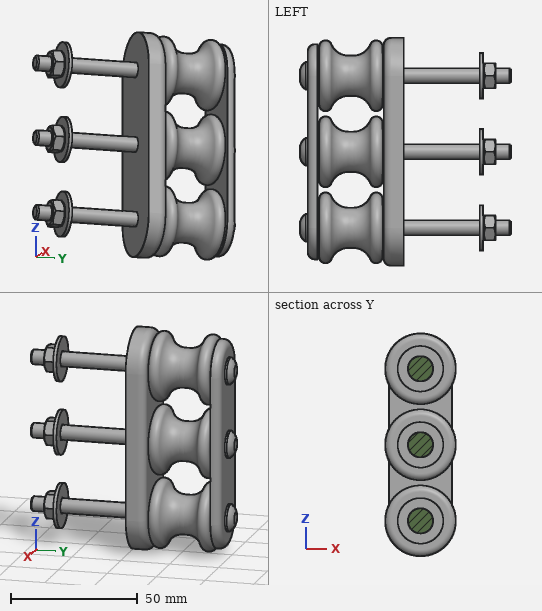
import cadquery as cq
import math


bolt_pitch = 30.0
bolt_heights = [-bolt_pitch, 0.0, bolt_pitch]

front_width = 30.0
front_thickness = 8.0
back_width = 25.0
back_thickness = 4.0
plate_fillet = 3.0
plate_chamfer = 0.1

roller_length = 25.0
roller_diameter = 28.0
neck_diameter = 16.0
neck_flat_length = 2.0
rim_radius = 2.5
spacer_diameter = 10.0
front_gap = 0.4
back_gap = 0.6
hub_diameter = 18.0
hub_height = 0.2

shank_diameter = 6.0
shank_protrusion = 42.3
shank_chamfer = 0.65
head_diameter = 11.0
head_height = 3.0
head_rim_height = 0.8
head_top_diameter = 4.8
head_dome_bulge = 0.35

nut_across_flats = 9.9
nut_height = 5.0
nut_collar_diameter = 9.9
nut_collar_length = 0.4
nut_outer_face_diameter = 9.0
nut_chamfer_angle = 30.0
thread_end_length = 6.0
washer_diameter = 18.0
washer_hole_diameter = 6.4
washer_thickness = 1.4

roller_start = front_thickness + front_gap
roller_end = roller_start + roller_length
back_start = roller_end + back_gap
back_end = back_start + back_thickness
shank_end = -shank_protrusion
nut_outer_face = shank_end + thread_end_length
nut_inner_face = nut_outer_face + nut_height


def plane_at(y):
    """Work plane normal to +Y at the given Y, with local Y along Z."""
    return cq.Workplane(cq.Plane(origin=(0, y, 0), xDir=(-1, 0, 0), normal=(0, 1, 0)))


def disc(diameter, y, length):
    return plane_at(y).circle(diameter / 2).extrude(length)


def revolve_about_y(profile):
    """Revolve a closed (radius, Y) profile around the Y axis."""
    return profile.close().revolve(360, (0, 0), (0, 1))


def plate(width, thickness, y):
    """Round-ended plate with its +Y edge filleted and its -Y edge chamfered."""
    total_height = 2 * bolt_pitch + width
    body = plane_at(y).slot2D(total_height, width, 90).extrude(thickness)
    body = body.faces(">Y").edges().fillet(plate_fillet)
    return body.faces("<Y").edges().chamfer(plate_chamfer)


def roller():
    """Grooved roller: round rims running tangentially into a concave neck, a thin hub on each end."""
    middle = (roller_start + roller_end) / 2
    hub_radius = hub_diameter / 2
    neck_radius = neck_diameter / 2
    rim_center_radius = roller_diameter / 2 - rim_radius
    rim_offset = roller_length / 2 - rim_radius
    flat_half = neck_flat_length / 2

    run = rim_offset - flat_half
    rise = rim_center_radius - neck_radius
    groove_radius = (run**2 + rise**2 - rim_radius**2) / (2 * (rim_radius + rise))
    groove_center_radius = neck_radius + groove_radius

    angle = math.atan2(groove_center_radius - rim_center_radius, run)
    tangent_radius = rim_center_radius + rim_radius * math.sin(angle)
    tangent_offset = rim_offset - rim_radius * math.cos(angle)
    groove_mid_angle = (math.pi / 2 + angle) / 2
    groove_mid_radius = groove_center_radius - groove_radius * math.sin(groove_mid_angle)
    groove_mid_offset = flat_half + groove_radius * math.cos(groove_mid_angle)
    rim_top = roller_diameter / 2

    tangent_front = (tangent_radius, middle - tangent_offset)
    tangent_back = (tangent_radius, middle + tangent_offset)
    groove_mid_front = (groove_mid_radius, middle - groove_mid_offset)
    groove_mid_back = (groove_mid_radius, middle + groove_mid_offset)

    profile = (
        cq.Workplane("XY")
        .moveTo(0, roller_start - hub_height)
        .lineTo(hub_radius, roller_start - hub_height)
        .lineTo(hub_radius, roller_start)
        .lineTo(rim_center_radius, roller_start)
        .threePointArc((rim_top, middle - rim_offset), tangent_front)
        .threePointArc(groove_mid_front, (neck_radius, middle - flat_half))
        .lineTo(neck_radius, middle + flat_half)
        .threePointArc(groove_mid_back, tangent_back)
        .threePointArc((rim_top, middle + rim_offset), (rim_center_radius, roller_end))
        .lineTo(hub_radius, roller_end)
        .lineTo(hub_radius, roller_end + hub_height)
        .lineTo(0, roller_end + hub_height)
    )
    return revolve_about_y(profile)


def spacers():
    """Thin collars that keep the roller clear of both plates."""
    front = disc(spacer_diameter, front_thickness, front_gap)
    back = disc(spacer_diameter, roller_end, back_gap)
    return front.union(back)


def bolt():
    """Shank with a chamfered end and a domed head."""
    shank = disc(shank_diameter, shank_end, back_end - shank_end)
    shank = shank.faces("<Y").chamfer(shank_chamfer)
    rim_end = (head_diameter / 2, back_end + head_rim_height)
    top_edge = (head_top_diameter / 2, back_end + head_height)
    head = (
        cq.Workplane("XY")
        .moveTo(0, back_end)
        .lineTo(head_diameter / 2, back_end)
        .lineTo(*rim_end)
        .sagittaArc(top_edge, -head_dome_bulge)
        .lineTo(0, back_end + head_height)
    )
    return shank.union(revolve_about_y(head))


def nut():
    """Hexagonal nut, flats facing +Z and -Z, with conical chamfers and a round collar under it."""
    corner_radius = nut_across_flats / math.sqrt(3)
    collar_radius = nut_collar_diameter / 2
    outer_radius = nut_outer_face_diameter / 2
    slope = math.tan(math.radians(nut_chamfer_angle))
    hex_height = nut_height - nut_collar_length
    hex_end = nut_outer_face + hex_height
    hexagon = plane_at(nut_outer_face).polygon(6, 2 * corner_radius).extrude(hex_height)
    envelope = (
        cq.Workplane("XY")
        .moveTo(0, nut_outer_face)
        .lineTo(outer_radius, nut_outer_face)
        .lineTo(corner_radius, nut_outer_face + (corner_radius - outer_radius) * slope)
        .lineTo(corner_radius, hex_end - (corner_radius - collar_radius) * slope)
        .lineTo(collar_radius, hex_end)
        .lineTo(0, hex_end)
    )
    collar = disc(nut_collar_diameter, hex_end, nut_collar_length)
    return hexagon.intersect(revolve_about_y(envelope)).union(collar)


def washer():
    ring = plane_at(nut_inner_face).circle(washer_diameter / 2).circle(washer_hole_diameter / 2)
    return ring.extrude(washer_thickness)


def roller_station():
    """One bolt with everything it carries, centered on Z = 0."""
    return bolt().union(roller()).union(spacers()).union(nut()).union(washer())


front_plate = plate(front_width, front_thickness, 0)
back_plate = plate(back_width, back_thickness, back_start)
station = roller_station()

result = front_plate.union(back_plate)
for height in bolt_heights:
    result = result.union(station.translate((0, 0, height)))